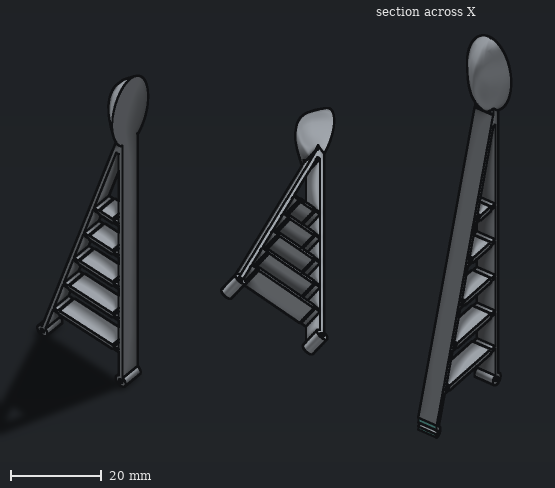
import cadquery as cq
import math


frame_width = 5.0
post_thickness = 1.2
leg_thickness = 1.05
foot_spacing = 23.02
leg_slope = 0.294

barrel_diameter = 3.0
hinge_hole_diameter = 1.0

neck_bottom = 72.0
leg_top = 75.3
neck_top = 78.0
neck_back_x = -1.2

rung_count = 5
first_rung_height = 9.25
rung_pitch = 10.05
rung_end_thickness = 0.76
rung_body_thickness = 1.4
rung_end_length = 1.35
rung_taper_length = 0.45

bowl_width = 12.0
bowl_depth = 5.5
bowl_top = 95.0
rim_center_z = 84.7
spine_center_z = 84.27
bowl_grid_steps = 16
bowl_tolerance = 0.003

foot_positions = (-foot_spacing, 0)
post_front_x = post_thickness / 2
post_back_x = -post_thickness / 2
leg_half_run = leg_thickness / 2 * math.sqrt(1 + leg_slope**2)
rim_half_length = bowl_top - rim_center_z
spine_half_length = bowl_top - spine_center_z
spine_radius = (spine_half_length**2 + bowl_depth**2) / (2 * bowl_depth)


def leg_axis_x(height):
    return -foot_spacing + leg_slope * height


def extrude_across(outline):
    """Extrude a closed XZ outline over the frame width, centred on Y = 0."""
    return outline.extrude(frame_width / 2, both=True)


def polygon_plate(points):
    return extrude_across(cq.Workplane("XZ").polyline(points).close())


def make_post():
    return polygon_plate([
        (post_back_x, 0),
        (post_front_x, 0),
        (post_front_x, neck_top),
        (post_back_x, neck_top),
    ])


def make_leg():
    return polygon_plate([
        (leg_axis_x(0) - leg_half_run, 0),
        (leg_axis_x(0) + leg_half_run, 0),
        (leg_axis_x(leg_top) + leg_half_run, leg_top),
        (leg_axis_x(leg_top) - leg_half_run, leg_top),
    ])


def make_neck():
    return polygon_plate([
        (leg_axis_x(neck_bottom), neck_bottom),
        (post_front_x, neck_bottom),
        (post_front_x, neck_top),
        (neck_back_x, neck_top),
        (neck_back_x, leg_top),
        (leg_axis_x(leg_top), leg_top),
    ])


def make_rung(height):
    """Flat rung: thin ends run into both members and taper up to a thicker body."""
    leg_face_x = leg_axis_x(height) + leg_half_run
    end_half = rung_end_thickness / 2
    body_half = rung_body_thickness / 2
    left_end = leg_face_x + rung_end_length
    right_end = post_back_x - rung_end_length
    upper_edge = [
        (leg_axis_x(height), end_half),
        (left_end, end_half),
        (left_end + rung_taper_length, body_half),
        (right_end - rung_taper_length, body_half),
        (right_end, end_half),
        (0, end_half),
    ]
    lower_edge = [(x, -z) for x, z in reversed(upper_edge)]
    outline = [(x, height + z) for x, z in upper_edge + lower_edge]
    return polygon_plate(outline)


def make_barrel(x, diameter):
    return extrude_across(cq.Workplane("XZ").center(x, 0).circle(diameter / 2))


def bowl_point(across, angle):
    """Skin point: across runs -1 to 1 over the width, angle is the rim ellipse angle."""
    height = rim_center_z + rim_half_length * math.sin(angle)
    half_width = bowl_width / 2 * math.cos(angle)
    spine_depth = math.sqrt(spine_radius**2 - (height - spine_center_z) ** 2) - spine_radius + bowl_depth
    section_height = 1 - 1.5 * across**2 + 0.5 * abs(across) ** 3
    return cq.Vector(post_front_x - spine_depth * section_height, across * half_width, height)


def make_bowl():
    """Spoon bowl: half-egg skin closed by a flat face at the rim and one on the leg top."""
    start_angle = math.asin((leg_top - rim_center_z) / rim_half_length)
    angle_step = (math.pi / 2 - start_angle) / bowl_grid_steps
    grid = [
        [
            bowl_point(i / bowl_grid_steps, start_angle + j * angle_step)
            for j in range(bowl_grid_steps + 1)
        ]
        for i in range(-bowl_grid_steps, bowl_grid_steps + 1)
    ]
    skin = cq.Face.makeSplineApprox(grid, tol=bowl_tolerance)
    bottom_curve = skin.edges("<Z")
    bottom_line = cq.Edge.makeLine(bottom_curve.startPoint(), bottom_curve.endPoint())
    rim_sides = [
        max(skin.Edges(), key=lambda edge: edge.Center().y),
        min(skin.Edges(), key=lambda edge: edge.Center().y),
    ]
    rim_face = cq.Face.makeFromWires(cq.Wire.assembleEdges(rim_sides + [bottom_line]))
    bottom_face = cq.Face.makeFromWires(cq.Wire.assembleEdges([bottom_curve, bottom_line]))
    shell = cq.Shell.makeShell([skin, rim_face, bottom_face])
    return cq.Workplane(cq.Solid.makeSolid(shell))


ladder = make_post().union(make_leg()).union(make_neck())
for index in range(rung_count):
    ladder = ladder.union(make_rung(first_rung_height + index * rung_pitch))
for foot_x in foot_positions:
    ladder = ladder.union(make_barrel(foot_x, barrel_diameter))
for foot_x in foot_positions:
    ladder = ladder.cut(make_barrel(foot_x, hinge_hole_diameter))

result = ladder.union(make_bowl()).solids()